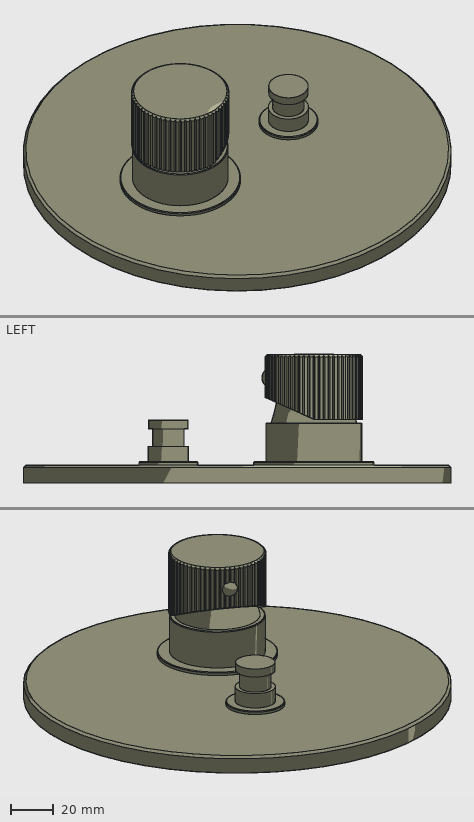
import cadquery as cq
import math

plate_diameter = 200.0
plate_radius = plate_diameter / 2
plate_thickness = 8.5
plate_chamfer = 1.2

rosette_thickness = 1.5
rosette_chamfer = 0.5
rosette_top = plate_thickness + rosette_thickness

button_y = 32.2
button_rosette_radius = 13.8
button_sleeve_radius = 9.5
button_sleeve_top = 17.2
button_stem_radius = 7.5
button_head_radius = 9.2
button_head_bottom = 25.5
button_top = 29.5

knob_y = -35.8
knob_rosette_radius = 28.2
knob_base_radius = 22.5
knob_base_top = 28.2
knob_base_chamfer = 0.5
neck_base_radius = 20.0
neck_taper_angle = 15.0
grip_radius = 22.8
grip_bottom = 29.8
grip_rim_top = 60.0
grip_chamfer = 1.0
grip_crown_height = 0.5
grip_undercut_angle = 24.3

groove_count = 60
groove_width = 1.0
groove_depth = 0.5

cut_overrun = 2.0

pointer_z = 49.2
pointer_base_radius = 3.5
pointer_height = 1.5


def disc(radius, bottom, top, y):
    """Upright cylinder centred on X = 0 at the given Y."""
    return cq.Workplane("XY", origin=(0, y, bottom)).circle(radius).extrude(top - bottom)


def rosette(radius, y):
    collar = disc(radius, plate_thickness, rosette_top, y)
    return collar.faces(">Z").edges().chamfer(rosette_chamfer)


def make_plate():
    plate = disc(plate_radius, 0, plate_thickness, 0)
    return plate.faces(">Z").edges().chamfer(plate_chamfer)


def make_button():
    sleeve = disc(button_sleeve_radius, plate_thickness, button_sleeve_top, button_y)
    stem = disc(button_stem_radius, plate_thickness, button_head_bottom, button_y)
    head = disc(button_head_radius, button_head_bottom, button_top, button_y)
    return rosette(button_rosette_radius, button_y).union(sleeve).union(stem).union(head)


def make_knob_base():
    base = disc(knob_base_radius, plate_thickness, knob_base_top, knob_y)
    base = base.faces(">Z").edges().chamfer(knob_base_chamfer)
    return rosette(knob_rosette_radius, knob_y).union(base)


def make_neck():
    """Tapered neck that reaches up into the slanted underside of the grip."""
    height = grip_rim_top - grip_chamfer - knob_base_top
    neck = cq.Workplane("XY", origin=(0, knob_y, knob_base_top)).circle(neck_base_radius)
    return neck.extrude(height, taper=neck_taper_angle)


def make_grip_blank():
    """Chamfered cylinder whose top is a shallow spherical crown."""
    rim_radius = grip_radius - grip_chamfer
    crown_top = grip_rim_top + grip_crown_height
    crown_radius = (rim_radius**2 + grip_crown_height**2) / (2 * grip_crown_height)
    crown_mid_angle = math.asin(rim_radius / crown_radius) / 2
    crown_mid = (
        crown_radius * math.sin(crown_mid_angle),
        crown_top - crown_radius * (1 - math.cos(crown_mid_angle)),
    )
    return (
        cq.Workplane("XZ", origin=(0, knob_y, 0))
        .moveTo(0, grip_bottom)
        .lineTo(grip_radius, grip_bottom)
        .lineTo(grip_radius, grip_rim_top - grip_chamfer)
        .lineTo(rim_radius, grip_rim_top)
        .threePointArc(crown_mid, (0, crown_top))
        .close()
        .revolve(360, (0, 0, 0), (0, 1, 0))
    )


def make_grooves():
    """Vertical V grooves spread evenly around the grip."""
    groove = (
        cq.Workplane("XY", origin=(0, knob_y, grip_bottom))
        .polyline([
            (grip_radius - groove_depth, 0),
            (grip_radius, groove_width / 2),
            (grip_radius + cut_overrun, groove_width / 2),
            (grip_radius + cut_overrun, -groove_width / 2),
            (grip_radius, -groove_width / 2),
        ])
        .close()
        .extrude(grip_rim_top - grip_bottom)
        .val()
    )
    axis_start = cq.Vector(0, knob_y, 0)
    axis_end = cq.Vector(0, knob_y, 2)
    step = 360 / groove_count
    return [groove.rotate(axis_start, axis_end, i * step) for i in range(groove_count)]


def make_undercut():
    """Wedge that slants the underside of the grip up towards the back."""
    reach = grip_radius + cut_overrun
    rise = reach * math.tan(math.radians(grip_undercut_angle))
    return (
        cq.Workplane("YZ", origin=(-reach, 0, 0))
        .polyline([
            (knob_y, grip_bottom),
            (knob_y + reach, grip_bottom),
            (knob_y + reach, grip_bottom + rise),
        ])
        .close()
        .extrude(2 * reach)
    )


def make_pointer():
    """Spherical cap standing on the back of the grip, rooted in its core."""
    sphere_radius = (pointer_base_radius**2 + pointer_height**2) / (2 * pointer_height)
    centre_y = knob_y + grip_radius + pointer_height - sphere_radius
    return cq.Workplane("XY", origin=(0, centre_y, pointer_z)).sphere(sphere_radius)


def make_grip():
    blank = make_grip_blank().cut(cq.Workplane(cq.Compound.makeCompound(make_grooves())))
    return blank.cut(make_undercut()).union(make_pointer())


knob = make_knob_base().union(make_neck()).union(make_grip())
result = make_plate().union(make_button()).union(knob)